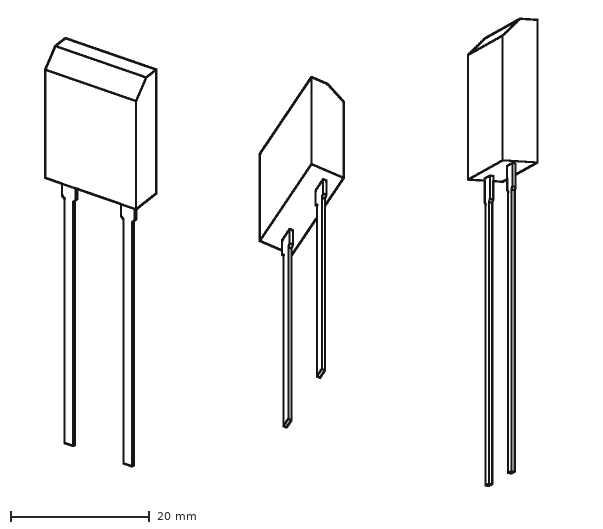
import cadquery as cq

total_height = 66.2
housing_width = 15.75
housing_depth = 5.3
housing_height = 21.0
housing_chamfer = 2.65

lead_pitch = 10.2
lead_width = 1.5
lead_thickness = 0.5
lead_front_inset = 2.0
shoulder_width = 2.4
shoulder_height = 3.45

lead_length = total_height - housing_height
lead_center_y = -housing_depth / 2 + lead_front_inset + lead_thickness / 2


def make_housing():
    """Block standing on the XY plane, with its upper front edge chamfered."""
    block = cq.Workplane("XY").box(
        housing_width, housing_depth, housing_height, centered=(True, True, False)
    )
    return block.faces("<Y").edges(">Z").chamfer(housing_chamfer)


def make_lead(center_x):
    """Strip hanging from the housing underside, narrowed by 45 degree slopes below its shoulder."""
    half_shoulder = shoulder_width / 2
    half_lead = lead_width / 2
    slope_end = shoulder_height + half_shoulder - half_lead
    outline = [
        (-half_shoulder, 0),
        (-half_shoulder, -shoulder_height),
        (-half_lead, -slope_end),
        (-half_lead, -lead_length),
        (half_lead, -lead_length),
        (half_lead, -slope_end),
        (half_shoulder, -shoulder_height),
        (half_shoulder, 0),
    ]
    lead = cq.Workplane("XZ").polyline(outline).close().extrude(lead_thickness / 2, both=True)
    return lead.translate((center_x, lead_center_y, 0))


housing = make_housing()
leads = [make_lead(side * lead_pitch / 2) for side in (-1, 1)]

result = cq.Compound.makeCompound([housing.val(), *[lead.val() for lead in leads]])